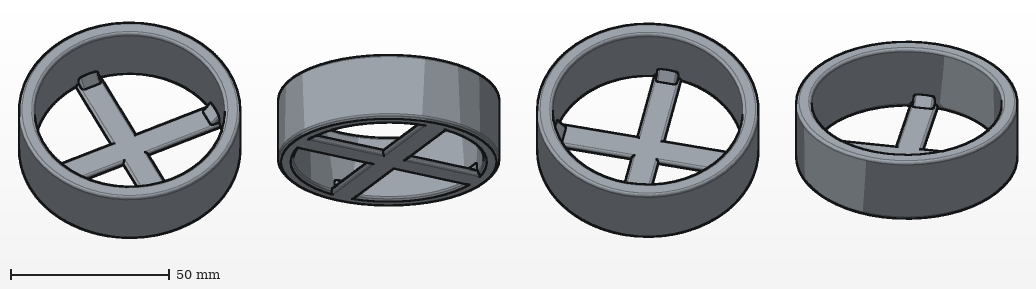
import cadquery as cq

outer_diameter = 70.0
inner_diameter = 60.0
height = 22.0
edge_size = 1.0

arm_width = 8.7
arm_thickness = 2.0
arm_round = 0.9

gusset_reach = 3.0
gusset_rise = 3.0
gusset_round = 0.85
gusset_width = arm_width - 2 * arm_round

outer_radius = outer_diameter / 2
inner_radius = inner_diameter / 2
wall_mid_radius = (outer_radius + inner_radius) / 2


def make_ring():
    """Ring with rounded top rims and chamfered bottom rims that blend into the walls."""
    ring = cq.Workplane("XY").circle(outer_radius).circle(inner_radius).extrude(height)
    ring = ring.faces(">Z").edges().fillet(edge_size)
    ring = ring.faces("<Z").edges().chamfer(edge_size)
    chamfer_tops = cq.selectors.BoxSelector(
        (-outer_diameter, -outer_diameter, edge_size / 2),
        (outer_diameter, outer_diameter, edge_size * 1.5),
    )
    return ring.edges("%CIRCLE").edges(chamfer_tops).fillet(edge_size)


def make_cross():
    """Two crossing bars, rounded along their top and bottom edges."""
    arm_length = 2 * wall_mid_radius
    cross = (
        cq.Workplane("XY")
        .rect(arm_length, arm_width)
        .extrude(arm_thickness)
        .union(cq.Workplane("XY").rect(arm_width, arm_length).extrude(arm_thickness))
    )
    return cross.faces("|Z").edges().fillet(arm_round)


def make_gusset():
    """Triangular wedge on the +X arm, with its two sloped side edges rounded."""
    toe = inner_radius - gusset_reach
    slope = gusset_rise / gusset_reach
    start = toe - edge_size
    end = wall_mid_radius
    base = arm_thickness - slope * (toe - start)
    wedge = (
        cq.Workplane("XZ")
        .moveTo(start, base)
        .lineTo(end, arm_thickness + slope * (end - toe))
        .lineTo(end, base)
        .close()
        .extrude(gusset_width / 2, both=True)
    )
    sloped_edges = cq.selectors.ParallelDirSelector(cq.Vector(1, 0, slope))
    return wedge.edges(sloped_edges).fillet(gusset_round)


result = make_ring().union(make_cross())
gusset = make_gusset()
arm_count = 4
for arm in range(arm_count):
    result = result.union(gusset.rotate((0, 0, 0), (0, 0, 1), 360 / arm_count * arm))